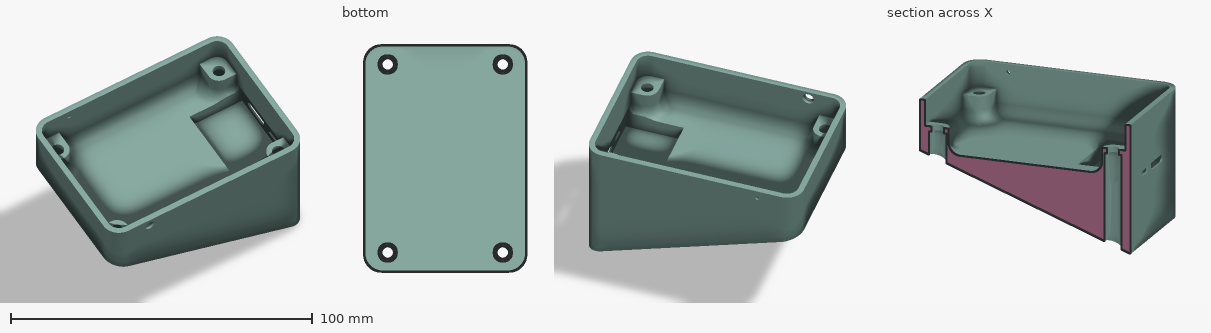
import cadquery as cq
import math

width = 53.7
length = 75.05
front_height = 17.9
back_height = 45.1
wall = 2.0
corner_radius = 6.0
inner_radius = corner_radius - wall
floor_depth = 18.0
floor_fillet = 4.0

screw_x = 19.1
screw_y = 31.15
post_radius = 4.0
post_top_depth = 9.0
flare_start_y = 31.5
flare_end_y = 27.7
flare_tip_width = 0.9
screw_diameter = 4.2
head_diameter = 6.0
screw_seat_thickness = 2.0

recess_width = 27.3
recess_front_y = 16.5
recess_back_y = 36.85
recess_top_depth = 13.7
recess_floor_depth = 23.4

plug_top_depth = 19.15
slot_top_depth = 19.45
slot_left_x = 3.3
slot_width = 5.1
slot_height = 1.8
plug_right_x = 0.3
plug_width = 10.5
plug_side_height = 1.8
plug_height = 2.6
plug_taper = 1.5

side_hole_y = -23.2
side_hole_depth = 2.9
pinhole_diameter = 1.4
stepped_hole_diameter = 3.3
stepped_hole_recess_diameter = 4.0
stepped_hole_recess_depth = 1.2

inner_width = width - 2 * wall
inner_length = length - 2 * wall
post_inner_x = screw_x - post_radius
post_inner_y = screw_y - post_radius


def make_shell():
    """Upright rounded block with its underside cut on a slope."""
    side_profile = [
        (-length / 2, 0),
        (length / 2, 0),
        (length / 2, -back_height),
        (-length / 2, -front_height),
    ]
    return (
        cq.Workplane("YZ")
        .polyline(side_profile)
        .close()
        .extrude(width / 2, both=True)
        .edges("|Z")
        .fillet(corner_radius)
    )


def make_post(side_x, side_y):
    """Corner block, rounded where it faces the middle of the cavity."""
    block_x = width / 2 - post_inner_x
    block_y = length / 2 - post_inner_y
    inner_face = (">" if side_x < 0 else "<") + "X"
    inner_edge = (">" if side_y < 0 else "<") + "Y"
    return (
        cq.Workplane("XY", origin=(0, 0, -floor_depth))
        .center(side_x * (post_inner_x + block_x / 2), side_y * (post_inner_y + block_y / 2))
        .rect(block_x, block_y)
        .extrude(floor_depth - post_top_depth)
        .faces(inner_face)
        .edges("|Z")
        .edges(inner_edge)
        .fillet(post_radius)
    )


def make_cavity():
    """Inner space around the posts, with a rounded edge along its floor."""
    cavity = (
        cq.Workplane("XY", origin=(0, 0, -floor_depth))
        .rect(inner_width, inner_length)
        .extrude(floor_depth)
        .edges("|Z")
        .fillet(inner_radius)
    )
    for side_x in (-1, 1):
        for side_y in (-1, 1):
            cavity = cavity.cut(make_post(side_x, side_y))
    cavity = cavity.faces("<Z").edges().fillet(floor_fillet)
    for side_x in (-1, 1):
        cavity = cavity.cut(make_front_flare(side_x))
    return cavity


def make_front_flare(side_x):
    """Mitred end of the straight floor fillet beside a front post."""
    flare_tip_x = post_inner_x - floor_fillet
    flare_top = floor_fillet - floor_depth
    arc_offset = floor_fillet * math.sqrt(0.5)
    fillet_bar = (
        cq.Workplane("XZ", origin=(0, -post_inner_y, 0))
        .moveTo(side_x * flare_tip_x, -floor_depth)
        .threePointArc(
            (side_x * (flare_tip_x + arc_offset), flare_top - arc_offset),
            (side_x * post_inner_x, flare_top),
        )
        .lineTo(side_x * post_inner_x, -floor_depth)
        .close()
        .extrude(flare_start_y - post_inner_y)
    )
    mitre_outline = [
        (side_x * post_inner_x, -flare_start_y),
        (side_x * flare_tip_x, -flare_start_y),
        (side_x * flare_tip_x, -flare_end_y),
        (side_x * (flare_tip_x + flare_tip_width), -flare_end_y),
    ]
    mitre = (
        cq.Workplane("XY", origin=(0, 0, -floor_depth))
        .polyline(mitre_outline)
        .close()
        .extrude(floor_fillet)
    )
    return fillet_bar.intersect(mitre)


def make_screw_holes():
    """Screw clearance through each post, with a head bore from below."""
    base = cq.Workplane("XY", origin=(0, 0, -back_height))
    centers = base.rect(2 * screw_x, 2 * screw_y, forConstruction=True)
    clearance = centers.vertices().circle(screw_diameter / 2).extrude(back_height)
    head_bore_height = back_height - post_top_depth - screw_seat_thickness
    head_bore = centers.vertices().circle(head_diameter / 2).extrude(head_bore_height)
    return clearance.union(head_bore)


def make_recess():
    """Rectangular connector recess below the main floor."""
    return cq.Workplane("XY").box(
        recess_width,
        recess_back_y - recess_front_y,
        recess_floor_depth - recess_top_depth,
        centered=(True, False, False),
    ).translate((0, recess_front_y, -recess_floor_depth))


def make_connector_openings():
    """Rectangular slot and tapered plug opening in the back wall."""
    back_plane = cq.Workplane("XZ", origin=(0, length / 2, 0))
    opening_depth = wall
    slot = (
        back_plane
        .center(slot_left_x + slot_width / 2, -slot_top_depth - slot_height / 2)
        .rect(slot_width, slot_height)
        .extrude(opening_depth)
    )
    plug_left_x = plug_right_x - plug_width
    plug_outline = [
        (plug_left_x, 0),
        (plug_right_x, 0),
        (plug_right_x, -plug_side_height),
        (plug_right_x - plug_taper, -plug_height),
        (plug_left_x + plug_taper, -plug_height),
        (plug_left_x, -plug_side_height),
    ]
    plug = back_plane.center(0, -plug_top_depth).polyline(plug_outline).close().extrude(opening_depth)
    return slot.union(plug)


def make_side_holes():
    """Pinhole through the -X wall and a hole recessed from inside the +X wall."""
    side_plane = cq.Workplane("YZ").center(side_hole_y, -side_hole_depth)
    pinhole = side_plane.circle(pinhole_diameter / 2).extrude(-width / 2)
    stepped_hole = side_plane.circle(stepped_hole_diameter / 2).extrude(width / 2)
    recess_reach = inner_width / 2 + stepped_hole_recess_depth
    recess = side_plane.circle(stepped_hole_recess_diameter / 2).extrude(recess_reach)
    return pinhole.union(stepped_hole).union(recess)


result = (
    make_shell()
    .cut(make_cavity())
    .cut(make_recess())
    .cut(make_screw_holes())
    .cut(make_connector_openings())
    .cut(make_side_holes())
)